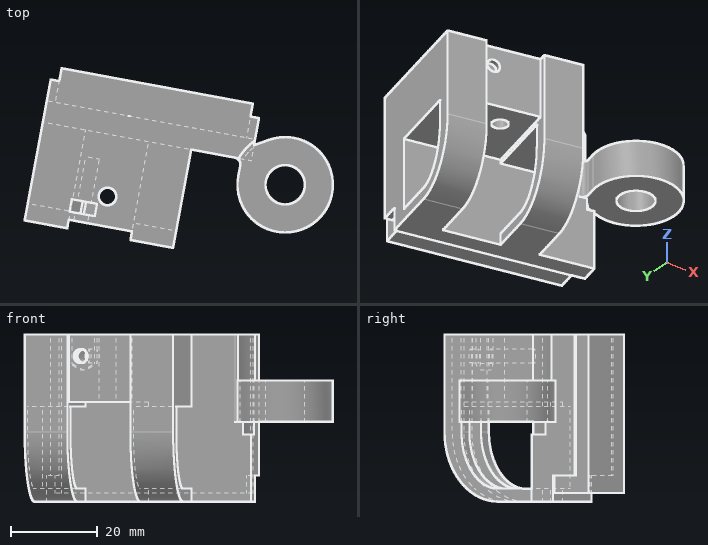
import cadquery as cq
import math

TURN_ANGLE = -10.5
HEIGHT = 38.5

PRONG_WIDTH = 10.0
PRONG_GAP = 14.75
PRONG_RECESS = 2.0
BODY_WIDTH = 2 * PRONG_WIDTH + PRONG_GAP
ARM_END = 48.75
ARM_FRONT = 23.0
SHOULDER = 33.0
BACK = 36.0
RAIL_INSET = 2.0

REBATE_FRONT = 28.0
REBATE_HEIGHT = 6.0
RAIL_BOTTOM = 2.0

FRONT_CURVE_DEPTH = 12.65
FRONT_CURVE_HEIGHT = 16.0
TUNNEL_FRONT = 4.0
TUNNEL_FLOOR = 3.0
TUNNEL_TOP = HEIGHT - 16.6
GAP_TOP = HEIGHT - 15.6

RING_X = 57.44
RING_Y = 19.0
RING_RADIUS = 11.0
RING_BORE = 4.5
RING_TOP = HEIGHT - 10.6
RING_THICKNESS = 9.5
RING_BOTTOM = RING_TOP - RING_THICKNESS
NECK_FILLET = 1.5
NECK_TANGENT_ANGLE = 120.0
UPPER_CLEARANCE_RADIUS = 12.3
LOWER_CLEARANCE_RADIUS = 11.3
LOWER_CLEARANCE_BOTTOM = HEIGHT - 23.0

CABLE_HOLE_X = 17.75
CABLE_HOLE_Y = 8.9
CABLE_HOLE_RADIUS = 2.0
SCREW_X = 12.75
SCREW_Z = HEIGHT - 5.0
SCREW_RADIUS = 1.6
SCREW_END = 17.0
NUT_WIDTH = 5.9
NUT_FRONT = 3.9
NUT_THICKNESS = 2.9
NUT_TIP_WIDTH = 0.8
NUT_SLOPE = math.tan(math.radians(30))


def box(x0, x1, y0, y1, z0, z1):
    return cq.Workplane("XY").box(x1 - x0, y1 - y0, z1 - z0, centered=False).translate((x0, y0, z0))


def cylinder(x, y, radius, z0, z1):
    return cq.Workplane("XY", origin=(x, y, z0)).circle(radius).extrude(z1 - z0)


def curved_front_bar(width, front, back, bottom, top):
    """Bar along X whose lower front edge is a quarter ellipse about the common curve centre."""
    depth = FRONT_CURVE_DEPTH - front
    height = FRONT_CURVE_HEIGHT - bottom
    return (
        cq.Workplane("YZ")
        .moveTo(front, top)
        .lineTo(front, FRONT_CURVE_HEIGHT)
        .ellipseArc(depth, height, 180, 270)
        .lineTo(back, bottom)
        .lineTo(back, top)
        .close()
        .extrude(width)
    )


def make_block():
    block = curved_front_bar(BODY_WIDTH, 0, ARM_FRONT, 0, HEIGHT)
    block = block.union(box(0, ARM_END, ARM_FRONT, SHOULDER, 0, HEIGHT))
    block = block.cut(box(0, ARM_END, REBATE_FRONT, SHOULDER, 0, REBATE_HEIGHT))
    return block.union(box(RAIL_INSET, ARM_END - RAIL_INSET, REBATE_FRONT, BACK, RAIL_BOTTOM, HEIGHT))


def cut_tunnel_and_gap(block):
    tunnel = curved_front_bar(BODY_WIDTH, TUNNEL_FRONT, ARM_FRONT, TUNNEL_FLOOR, TUNNEL_TOP)
    gap_end = PRONG_WIDTH + PRONG_GAP
    recess = box(PRONG_WIDTH, gap_end, 0, PRONG_RECESS, 0, HEIGHT)
    gap = box(PRONG_WIDTH, gap_end, 0, ARM_FRONT, 0, GAP_TOP)
    return block.cut(tunnel).cut(recess).cut(gap)


def make_neck():
    """Neck from arm to ring, filleted to the arm front, tangent to the ring, and up to the top face."""
    left = RING_X - RING_RADIUS
    tangent = math.radians(NECK_TANGENT_ANGLE)
    tangent_x = RING_X + RING_RADIUS * math.cos(tangent)
    tangent_y = RING_Y + RING_RADIUS * math.sin(tangent)
    corner_y = tangent_y - (tangent_x - ARM_END) / math.tan(math.pi - tangent)
    fillet_x = left - NECK_FILLET
    fillet_y = ARM_FRONT - NECK_FILLET
    mid = NECK_FILLET * math.cos(math.pi / 4)
    return (
        cq.Workplane("XY", origin=(0, 0, RING_BOTTOM))
        .moveTo(RING_X, RING_Y)
        .lineTo(left, RING_Y)
        .lineTo(left, fillet_y)
        .threePointArc((fillet_x + mid, fillet_y + mid), (fillet_x, ARM_FRONT))
        .lineTo(fillet_x, corner_y)
        .lineTo(ARM_END, corner_y)
        .lineTo(tangent_x, tangent_y)
        .close()
        .extrude(HEIGHT - RING_BOTTOM)
    )


def add_ring(block):
    """Add the neck up to the top face, clear it above and below the ring, then add the ring."""
    upper = cylinder(RING_X, RING_Y, UPPER_CLEARANCE_RADIUS, RING_TOP, HEIGHT)
    lower = cylinder(RING_X, RING_Y, LOWER_CLEARANCE_RADIUS, LOWER_CLEARANCE_BOTTOM, RING_BOTTOM)
    ring = cylinder(RING_X, RING_Y, RING_RADIUS, RING_BOTTOM, RING_TOP)
    bore = cylinder(RING_X, RING_Y, RING_BORE, RING_BOTTOM, RING_TOP)
    return block.union(make_neck()).cut(upper).cut(lower).union(ring).cut(bore)


def cut_cable_hole(block):
    return block.cut(cylinder(CABLE_HOLE_X, CABLE_HOLE_Y, CABLE_HOLE_RADIUS, 0, HEIGHT))


def cut_screw_hole(block):
    hole_depth = SCREW_END - PRONG_RECESS
    hole = (
        cq.Workplane("XZ", origin=(SCREW_X, PRONG_RECESS, SCREW_Z))
        .circle(SCREW_RADIUS)
        .extrude(-hole_depth)
    )
    return block.cut(hole)


def cut_nut_slot(block):
    """Slot open at the top, ending below in the two sloping flats of a hexagon with a flat tip."""
    half = NUT_WIDTH / 2
    half_tip = NUT_TIP_WIDTH / 2
    slot_top = HEIGHT - SCREW_Z
    slope_start = -half * NUT_SLOPE
    slope_end = slope_start - (half - half_tip) * NUT_SLOPE
    slot = (
        cq.Workplane("XZ", origin=(SCREW_X, NUT_FRONT, SCREW_Z))
        .moveTo(-half, slot_top)
        .lineTo(-half, slope_start)
        .lineTo(-half_tip, slope_end)
        .lineTo(half_tip, slope_end)
        .lineTo(half, slope_start)
        .lineTo(half, slot_top)
        .close()
        .extrude(-NUT_THICKNESS)
    )
    return block.cut(slot)


part = cut_tunnel_and_gap(make_block())
part = add_ring(part)
part = cut_cable_hole(part)
part = cut_screw_hole(part)
part = cut_nut_slot(part)
result = part.rotate((0, 0, 0), (0, 0, 1), TURN_ANGLE)